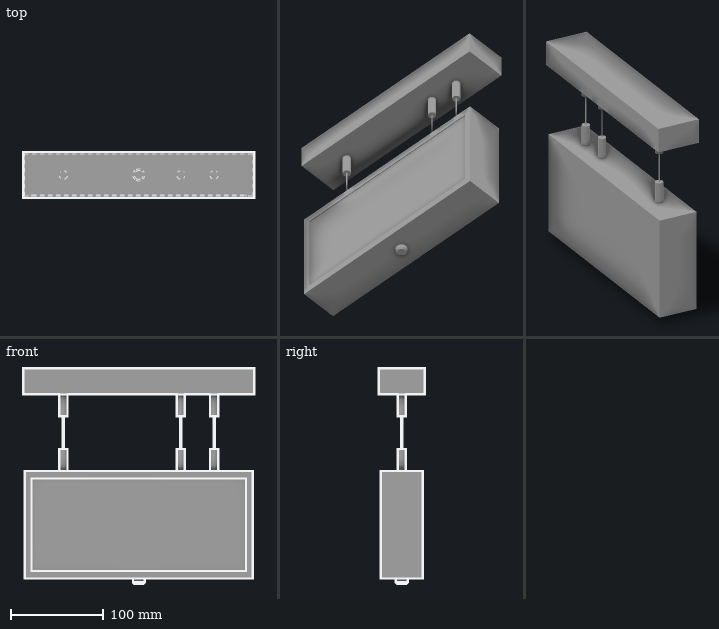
import cadquery as cq

canopy_length = 250.0
canopy_depth = 50.0
canopy_height = 28.2

box_length = 247.0
box_depth = 45.5
box_height = 116.5
frame_side = 7.5
frame_top_bottom = 8.2
recess_depth = 1.0

sleeve_diameter = 9.0
sleeve_height = 24.0
wire_diameter = 1.5
wire_gap = 35.0
outer_hanger_x = 81.5
inner_hanger_x = 45.5
hanger_positions = (-outer_hanger_x, inner_hanger_x, outer_hanger_x)

button_diameter = 13.0
button_height = 5.5
button_chamfer = 1.8

box_bottom = button_height
box_top = box_bottom + box_height
lower_sleeve_top = box_top + sleeve_height
upper_sleeve_bottom = lower_sleeve_top + wire_gap
canopy_bottom = upper_sleeve_bottom + sleeve_height


def block(length, depth, height, bottom):
    """Box centred on the Z axis, standing on the given level."""
    return cq.Workplane("XY", origin=(0, 0, bottom)).box(
        length, depth, height, centered=(True, True, False)
    )


def rod(diameter, height, bottom, x=0):
    """Vertical cylinder standing on the given level."""
    return cq.Workplane("XY", origin=(x, 0, bottom)).circle(diameter / 2).extrude(height)


def hanging_box():
    body = block(box_length, box_depth, box_height, box_bottom)
    window_length = box_length - 2 * frame_side
    window_height = box_height - 2 * frame_top_bottom
    recess = block(window_length, recess_depth, window_height, box_bottom + frame_top_bottom)
    return body.cut(recess.translate((0, (recess_depth - box_depth) / 2, 0)))


def hanger(x):
    lower_sleeve = rod(sleeve_diameter, sleeve_height, box_top, x)
    upper_sleeve = rod(sleeve_diameter, sleeve_height, upper_sleeve_bottom, x)
    wire = rod(wire_diameter, canopy_bottom - box_top, box_top, x)
    return lower_sleeve.union(upper_sleeve).union(wire)


def button():
    return rod(button_diameter, button_height, 0).faces("<Z").chamfer(button_chamfer)


assembly = hanging_box().union(button())
for hanger_x in hanger_positions:
    assembly = assembly.union(hanger(hanger_x))
canopy = block(canopy_length, canopy_depth, canopy_height, canopy_bottom)

total_height = canopy_bottom + canopy_height
result = assembly.union(canopy).translate((0, 0, -total_height / 2))